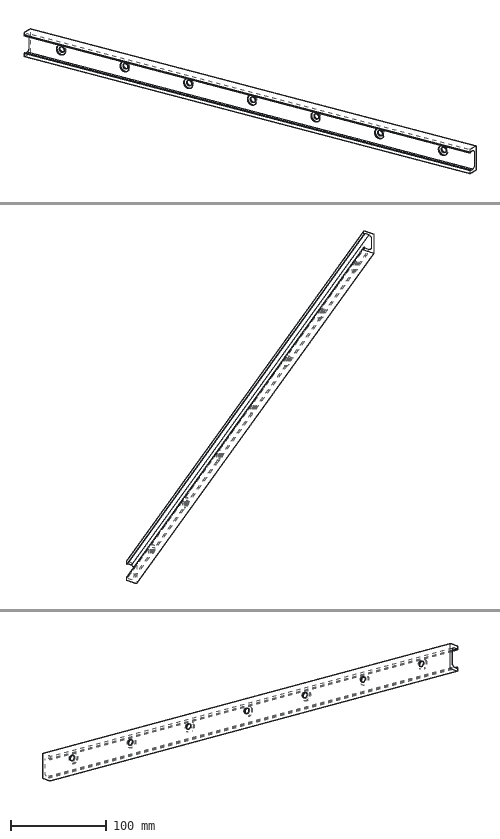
import cadquery as cq

length = 560.0
depth = 12.5
height = 28.0

web_thickness = 3.5
flange_thickness = 3.5
lip_thickness = 4.5
lip_width = 1.0
lip_radius = 0.85
race_floor_width = 5.0
root_thickness = 5.5
root_radius = 1.0
corner_radius = 0.85

hole_count = 7
hole_pitch = length / hole_count
hole_diameter = 6.0
counterbore_diameter = 11.0
counterbore_depth = 1.5

half_height = height / 2
open_y = -depth / 2
back_y = depth / 2
web_y = back_y - web_thickness
race_front_y = open_y + lip_width
race_back_y = race_front_y + race_floor_width
lip_z = half_height - lip_thickness
race_z = half_height - flange_thickness
root_z = half_height - root_thickness


def make_rail():
    """Cut the channel along the open side of a rounded bar and round its edges."""
    bar = cq.Workplane("XY").box(length, depth, height).edges("|X").fillet(corner_radius)
    upper_profile = [
        (open_y, lip_z),
        (race_front_y, lip_z),
        (race_front_y, race_z),
        (race_back_y, race_z),
        (web_y, root_z),
    ]
    lower_profile = [(y, -z) for y, z in reversed(upper_profile)]
    channel = (
        cq.Workplane("YZ", origin=(-length / 2, 0, 0))
        .polyline(upper_profile + lower_profile)
        .close()
        .extrude(length)
    )
    rail = bar.cut(channel)
    for side in (1, -1):
        lip_edge = cq.selectors.NearestToPointSelector((0, open_y, side * lip_z))
        root_edge = cq.selectors.NearestToPointSelector((0, web_y, side * root_z))
        rail = rail.edges("|X").edges(lip_edge).fillet(lip_radius)
        rail = rail.edges("|X").edges(root_edge).fillet(root_radius)
    return rail


def drill_mounting_holes(rail):
    """Counterbore the row of holes from the open side of the web."""
    return (
        rail.copyWorkplane(cq.Workplane("XZ", origin=(0, web_y, 0)))
        .rarray(hole_pitch, 5.5, hole_count, 1)
        .cboreHole(hole_diameter, counterbore_diameter, counterbore_depth, web_thickness)
    )


result = drill_mounting_holes(make_rail())